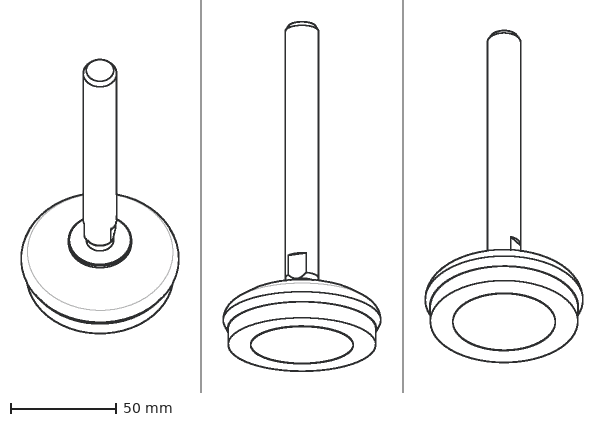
import cadquery as cq

total_height = 162.5
foot_height = 0.3
pad_top = 8.5
cap_widest_level = 12.7
dome_edge_level = 18.4
dome_top = 25.8
collar_top = 27.8
shank_bottom = 31.7
flats_top = 44.0

pad_diameter = 70.2
foot_diameter = 48.7

skirt_diameter = 70.8
cap_diameter = 75.0
dome_edge_diameter = 69.2
dome_mid_radius = 25.5
dome_mid_level = 23.7
rim_mid_radius = 36.7
rim_mid_level = 16.0

collar_diameter = 30.0
collar_chamfer = 0.5

shank_diameter = 16.0
neck_diameter = 13.0
end_chamfer_height = 2.5
flats_width = 13.0

cap_radius = cap_diameter / 2
collar_radius = collar_diameter / 2
shank_radius = shank_diameter / 2
neck_radius = neck_diameter / 2


def disc(diameter, bottom, top):
    """Upright cylinder about the Z axis between two levels."""
    return cq.Workplane("XY").workplane(offset=bottom).circle(diameter / 2).extrude(top - bottom)


def make_pad():
    """Round base pad standing on a slightly raised central foot."""
    body = disc(pad_diameter, foot_height, pad_top)
    return body.union(disc(foot_diameter, 0, foot_height))


def make_cap():
    """Domed cap with a rounded rim and an undercut skirt down to the pad."""
    return (
        cq.Workplane("XZ")
        .moveTo(0, pad_top)
        .lineTo(skirt_diameter / 2, pad_top)
        .lineTo(cap_radius, cap_widest_level)
        .threePointArc((rim_mid_radius, rim_mid_level), (dome_edge_diameter / 2, dome_edge_level))
        .threePointArc((dome_mid_radius, dome_mid_level), (collar_radius, dome_top))
        .lineTo(0, dome_top)
        .close()
        .revolve(360, (0, 0, 0), (0, 1, 0))
    )


def make_collar():
    """Chamfered ring on top of the cap, bored for the neck of the stem."""
    ring = disc(collar_diameter, dome_top, collar_top).faces(">Z").edges().chamfer(collar_chamfer)
    return ring.cut(disc(neck_diameter, dome_top, collar_top))


def make_stem():
    """Shank tapered at both ends, with a neck below and two wrench flats facing X."""
    turned = (
        cq.Workplane("XZ")
        .moveTo(0, dome_top)
        .lineTo(neck_radius, dome_top)
        .lineTo(neck_radius, shank_bottom)
        .lineTo(shank_radius, shank_bottom + end_chamfer_height)
        .lineTo(shank_radius, total_height - end_chamfer_height)
        .lineTo(neck_radius, total_height)
        .lineTo(0, total_height)
        .close()
        .revolve(360, (0, 0, 0), (0, 1, 0))
    )
    flats_height = flats_top - shank_bottom
    flats_zone = disc(2 * shank_diameter, shank_bottom, flats_top)
    kept_slab = (
        cq.Workplane("XY")
        .workplane(offset=shank_bottom)
        .rect(flats_width, 2 * shank_diameter)
        .extrude(flats_height)
    )
    return turned.cut(flats_zone.cut(kept_slab))


pad = make_pad()
cap = make_cap()
collar = make_collar()
stem = make_stem()

result = cq.Compound.makeCompound([pad.val(), cap.val(), collar.val(), stem.val()])